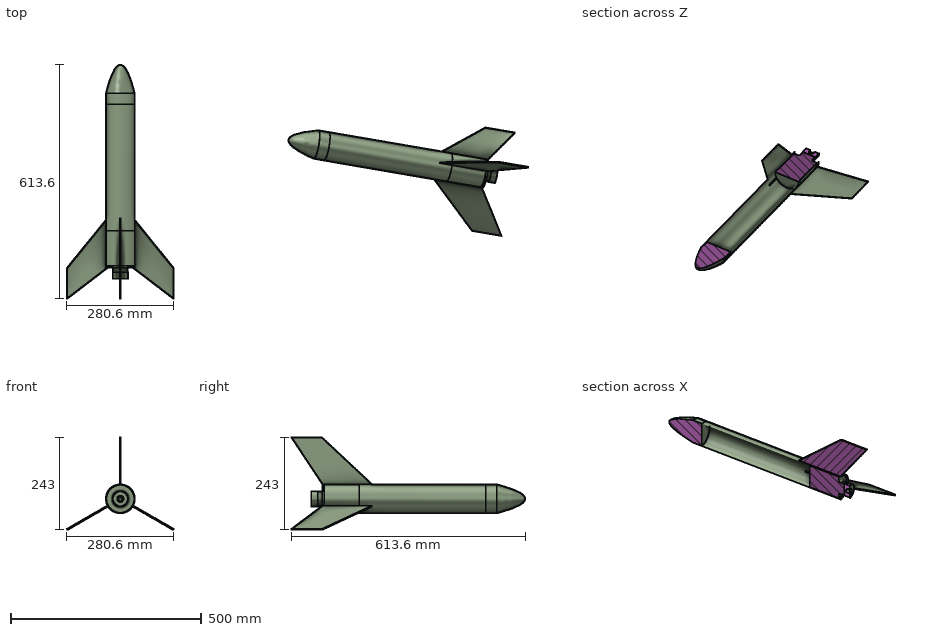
import cadquery as cq
import math


OVERALL_LENGTH = 613.64
OVERALL_HEIGHT = 243.0

TUBE_DIAMETER = 76.2
TUBE_BORE = 74.42
TUBE_LENGTH = 457.2
TUBE_RADIUS = TUBE_DIAMETER / 2

NOSE_LENGTH = 75.0
NOSE_CURVE_STEPS = 40
SHOULDER_DIAMETER = 74.0
SHOULDER_LENGTH = 28.0

FIN_COUNT = 3
FIN_ANGLE = 360 / FIN_COUNT
FIN_THICKNESS = 3.0
FIN_ROOT_CHORD = 130.0
FIN_TIP_CHORD = 80.0
FIN_OVERHANG = OVERALL_LENGTH - NOSE_LENGTH - TUBE_LENGTH
FIN_DROOP = math.radians(FIN_ANGLE - 90)
FIN_TOP = (OVERALL_HEIGHT - FIN_THICKNESS / 2 * math.cos(FIN_DROOP)) / (1 + math.sin(FIN_DROOP))

PLUG_DIAMETER = 73.0
PLUG_INSET = 5.0
PLUG_FRONT = 97.0
NECK_DIAMETER = 38.7
NECK_OVERHANG = 12.5
NECK_REAR = -NECK_OVERHANG
FLARE_RADIUS = 5.0

CAP_DIAMETER = 41.0
CAP_LENGTH = 17.0
NOZZLE_EXIT_DIAMETER = 17.0
NOZZLE_THROAT_DIAMETER = 12.0
NOZZLE_EXIT_DEPTH = 4.0
NOZZLE_THROAT_LENGTH = 2.0

AXIS_START = (0, 0)
AXIS_END = (0, 1)
HALF_ARC = math.sqrt(0.5)


def rod(diameter, y_rear, y_front):
    """A cylinder along Y between two stations."""
    front_facing = cq.Plane(origin=(0, y_rear, 0), xDir=(1, 0, 0), normal=(0, 1, 0))
    return cq.Workplane(front_facing).circle(diameter / 2).extrude(y_front - y_rear)


def make_tube():
    """A thin-walled tube, open at both ends."""
    return rod(TUBE_DIAMETER, 0, TUBE_LENGTH).cut(rod(TUBE_BORE, 0, TUBE_LENGTH))


def make_nose():
    """A paraboloid tip on a shoulder that fills the front of the tube."""

    def parabola(t):
        return (TUBE_RADIUS * t, TUBE_LENGTH + NOSE_LENGTH * (1 - t**2))

    shoulder_radius = SHOULDER_DIAMETER / 2
    shoulder_rear = TUBE_LENGTH - SHOULDER_LENGTH
    return (
        cq.Workplane("XY")
        .parametricCurve(parabola, N=NOSE_CURVE_STEPS, makeWire=False)
        .lineTo(shoulder_radius, TUBE_LENGTH)
        .lineTo(shoulder_radius, shoulder_rear)
        .lineTo(0, shoulder_rear)
        .close()
        .revolve(360, AXIS_START, AXIS_END)
    )


def make_fin(angle):
    """A swept plate standing on the tube, turned about the rocket axis from +Z."""
    fin = (
        cq.Workplane("YZ")
        .moveTo(0, 0)
        .lineTo(FIN_ROOT_CHORD, 0)
        .lineTo(FIN_ROOT_CHORD, TUBE_RADIUS)
        .lineTo(FIN_TIP_CHORD - FIN_OVERHANG, FIN_TOP)
        .lineTo(-FIN_OVERHANG, FIN_TOP)
        .lineTo(0, TUBE_RADIUS)
        .close()
        .extrude(FIN_THICKNESS / 2, both=True)
        .cut(rod(TUBE_DIAMETER, 0, TUBE_LENGTH))
    )
    return fin.rotate((0, 0, 0), (0, 1, 0), angle)


def make_mount():
    """A solid of revolution: the plug, the flare behind it and the neck."""
    plug_radius = PLUG_DIAMETER / 2
    neck_radius = NECK_DIAMETER / 2
    flare_arc_middle = FLARE_RADIUS * (1 - HALF_ARC)
    return (
        cq.Workplane("XY")
        .moveTo(0, PLUG_FRONT)
        .lineTo(plug_radius, PLUG_FRONT)
        .lineTo(plug_radius, PLUG_INSET)
        .lineTo(neck_radius + FLARE_RADIUS, PLUG_INSET)
        .threePointArc(
            (neck_radius + flare_arc_middle, PLUG_INSET - flare_arc_middle),
            (neck_radius, PLUG_INSET - FLARE_RADIUS),
        )
        .lineTo(neck_radius, NECK_REAR)
        .lineTo(0, NECK_REAR)
        .close()
        .revolve(360, AXIS_START, AXIS_END)
    )


def make_cap():
    """A disc with a nozzle that narrows to a throat and ends in a dome."""
    cap_rear = NECK_REAR - CAP_LENGTH
    exit_end = cap_rear + NOZZLE_EXIT_DEPTH
    throat_end = exit_end + NOZZLE_THROAT_LENGTH
    throat_radius = NOZZLE_THROAT_DIAMETER / 2
    dome_middle = throat_radius * HALF_ARC
    nozzle = (
        cq.Workplane("XY")
        .moveTo(0, cap_rear)
        .lineTo(NOZZLE_EXIT_DIAMETER / 2, cap_rear)
        .lineTo(throat_radius, exit_end)
        .lineTo(throat_radius, throat_end)
        .threePointArc((dome_middle, throat_end + dome_middle), (0, throat_end + throat_radius))
        .close()
        .revolve(360, AXIS_START, AXIS_END)
    )
    return rod(CAP_DIAMETER, cap_rear, NECK_REAR).cut(nozzle)


tube = make_tube()
nose = make_nose()
fins = [make_fin(i * FIN_ANGLE) for i in range(FIN_COUNT)]
mount = make_mount()
cap = make_cap()

result = cq.Compound.makeCompound(
    [tube.val(), nose.val(), *[fin.val() for fin in fins], mount.val(), cap.val()]
)